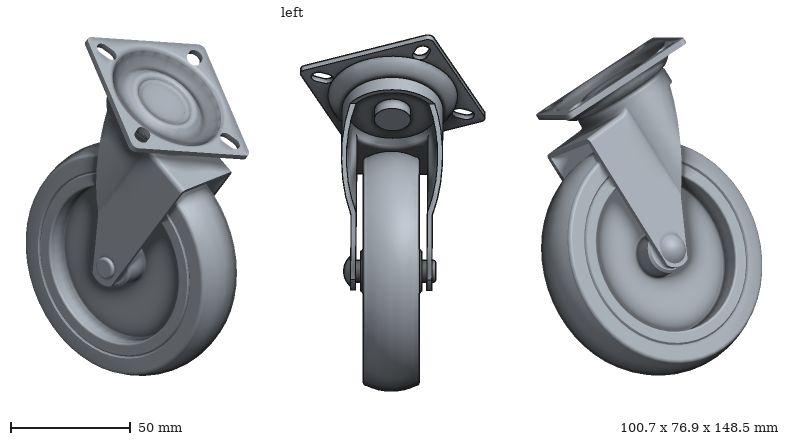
import cadquery as cq
import math


PITCH = 37.8
ROLL = 0.5
PLATE_TURN = -22.8

WHEEL_RADIUS = 50.0
WHEEL_HALF_WIDTH = 11.7
TREAD_HALF_WIDTH = 10.2
TREAD_EDGE_RADIUS = 47.7
TYRE_FACE_RADIUS = 46.0
RIM_RADIUS = 39.6
SEAM_CHAMFER = 0.67
RIM_INNER_RADIUS = 34.0
RIM_EDGE_FILLET = 0.9
WEB_HALF_THICKNESS = 2.4
HUB_RADIUS = 9.2
HUB_HALF_LENGTH = 12.8
HUB_END_CHAMFER = 1.0

AXLE_RADIUS = 4.6
AXLE_END_Y = -18.5
AXLE_END_FILLET = 1.0
HEAD_RADIUS = 6.2
HEAD_SEAT_Y = 17.1
HEAD_HEIGHT = 2.8

SHEET = 2.1
SWIVEL_OFFSET = 30.0
CROWN_RADIUS = 21.1
CROWN_TOP = 63.7
COLLAR_BOTTOM = 56.1
SHOULDER_TOP = 58.5
LEG_OUTER = 17.0
LEG_EDGE = 6.7
TIP_RADIUS = 8.0
FRONT_EDGE_ANGLE = 31.0
BLEND_RADIUS = 1.5
INNER_BLEND_RADIUS = 1.5
BEND_RADIUS = 2.1
LEG_DROP = 11.9
TRIM_MARGIN = 1.5

PLATE_SIDE = 60.0
PLATE_CORNER = 2.7
PLATE_THICKNESS = 2.5
PLATE_TOP = 71.7
SLOT_SPACING = 44.8
SLOT_LENGTH = 9.5
SLOT_WIDTH = 6.2
DISH_RADIUS = 27.6
DISH_UNDER_RADIUS = 27.0
DISH_LIP_MID = (26.6, 0.37)
DISH_LIP_END = (25.7, 1.3)
DISH_UPPER = [(22.9, 5.5), (21.2, 6.2), (16.6, 3.5), (14.3, 2.5)]
DISH_BORE_LIP = (12.0, 3.9)
DISH_LOWER = [(22.9, 7.5), (21.1, 8.2), (16.6, 6.1), (14.3, 5.0), (12.0, 5.8)]
DISH_BORE_DEPTHS = (4.3, 6.1)

PIN_HEAD_RADIUS = 10.1
PIN_HEAD_DEPTH = 4.3
PIN_RADIUS = 7.5
PIN_BOTTOM = 56.7

TOLERANCE = 0.01


def spin_about_y(half_profile):
    """Solid turned about Y from a closed profile of (radius, y) drawn on the XY plane."""
    return half_profile.revolve(360, (0, 0, 0), (0, 1, 0))


def make_tyre():
    width, edge = WHEEL_HALF_WIDTH, TREAD_HALF_WIDTH
    arc_rise = 1 - math.sqrt(0.5)
    bulge = (width - edge) * arc_rise
    shoulder_mid = TREAD_EDGE_RADIUS - (TREAD_EDGE_RADIUS - TYRE_FACE_RADIUS) * arc_rise
    profile = (
        cq.Workplane("XY")
        .moveTo(RIM_RADIUS, -width + SEAM_CHAMFER)
        .lineTo(RIM_RADIUS + SEAM_CHAMFER, -width)
        .lineTo(TYRE_FACE_RADIUS, -width)
        .threePointArc((shoulder_mid, -width + bulge), (TREAD_EDGE_RADIUS, -edge))
        .threePointArc((WHEEL_RADIUS, 0), (TREAD_EDGE_RADIUS, edge))
        .threePointArc((shoulder_mid, width - bulge), (TYRE_FACE_RADIUS, width))
        .lineTo(RIM_RADIUS + SEAM_CHAMFER, width)
        .lineTo(RIM_RADIUS, width - SEAM_CHAMFER)
        .close()
    )
    return spin_about_y(profile)


def disc(radius, half_length):
    """Cylinder about Y, centred on the wheel plane."""
    return cq.Workplane("XZ").circle(radius).extrude(half_length, both=True)


def make_rim():
    rim = disc(RIM_RADIUS, WHEEL_HALF_WIDTH).faces("<Y or >Y").chamfer(SEAM_CHAMFER)
    rim = rim.cut(disc(RIM_INNER_RADIUS, WHEEL_HALF_WIDTH))
    hub = disc(HUB_RADIUS, HUB_HALF_LENGTH).faces("<Y or >Y").chamfer(HUB_END_CHAMFER)
    web = disc(RIM_INNER_RADIUS, WEB_HALF_THICKNESS)
    wheel = rim.union(web).union(hub)

    def is_rounded(edge):
        box = edge.BoundingBox()
        radius = box.xlen / 2
        on_wall = abs(radius - RIM_INNER_RADIUS) < TOLERANCE
        on_hub = abs(radius - HUB_RADIUS) < TOLERANCE
        on_web = abs(abs(box.center.y) - WEB_HALF_THICKNESS) < TOLERANCE
        return on_wall or (on_hub and on_web)

    rounded = [edge for edge in wheel.edges("%CIRCLE").vals() if is_rounded(edge)]
    wheel = wheel.newObject(rounded).fillet(RIM_EDGE_FILLET)
    return wheel.cut(disc(AXLE_RADIUS, HUB_HALF_LENGTH))


def make_axle():
    head_end = HEAD_SEAT_Y + HEAD_HEIGHT
    sphere_radius = (HEAD_RADIUS**2 + HEAD_HEIGHT**2) / (2 * HEAD_HEIGHT)
    mid = HEAD_RADIUS / 2
    mid_y = head_end - sphere_radius + math.sqrt(sphere_radius**2 - mid**2)
    profile = (
        cq.Workplane("XY")
        .moveTo(0, AXLE_END_Y)
        .lineTo(AXLE_RADIUS - AXLE_END_FILLET, AXLE_END_Y)
        .radiusArc((AXLE_RADIUS, AXLE_END_Y + AXLE_END_FILLET), -AXLE_END_FILLET)
        .lineTo(AXLE_RADIUS, HEAD_SEAT_Y)
        .lineTo(HEAD_RADIUS, HEAD_SEAT_Y)
        .threePointArc((mid, mid_y), (0, head_end))
        .close()
    )
    return spin_about_y(profile)


def pose(body):
    """Lean an upright body about the axle centre."""
    return body.rotate((0, 0, 0), (1, 0, 0), ROLL).rotate((0, 0, 0), (0, 1, 0), PITCH)


def swivel_cylinder(radius, bottom, top):
    """Cylinder on the upright swivel axis."""
    return cq.Workplane("XY", origin=(-SWIVEL_OFFSET, 0, bottom)).circle(radius).extrude(top - bottom)


def leg_block(half_width, top, rear):
    """Block spanning both legs, from the swivel axis back to `rear`."""
    size = (rear + SWIVEL_OFFSET, 2 * half_width, top + LEG_DROP)
    return cq.Workplane("XY", origin=(-SWIVEL_OFFSET, 0, -LEG_DROP)).box(*size, centered=(False, True, False))


def make_fork_form(offset, rear, blend, bend):
    """Crown cylinder blended into the leg block, all set inwards from the outer skin by `offset`."""
    crown_radius = CROWN_RADIUS - offset
    shoulder = SHOULDER_TOP - offset
    crown = swivel_cylinder(crown_radius, -LEG_DROP, CROWN_TOP - offset)
    form = crown.union(leg_block(LEG_OUTER - offset, shoulder, rear))

    def is_inside_corner(edge):
        box = edge.BoundingBox()
        upright = edge.geomType() == "LINE" and box.zlen > SHEET
        between_crown_and_leg = upright and box.xmax < -LEG_EDGE
        level = box.zlen < TOLERANCE and abs(box.zmin - shoulder) < TOLERANCE
        around_crown = edge.geomType() == "CIRCLE" and level
        return between_crown_and_leg or around_crown

    corners = [edge for edge in form.edges("(not <Z)").vals() if is_inside_corner(edge)]
    form = form.newObject(corners).fillet(blend)
    if bend > 0:
        shoulder_edges = cq.selectors.BoxSelector(
            (-SWIVEL_OFFSET, -CROWN_RADIUS, shoulder - TOLERANCE),
            (rear + TRIM_MARGIN, CROWN_RADIUS, shoulder + TOLERANCE),
        )
        form = form.edges(shoulder_edges).edges("|X").fillet(bend)
        form = form.faces(">Z").edges().fillet(bend)
    return form


def make_fork_blank():
    """Sheet shell: crown cylinder at the front running into two flat legs and a shoulder."""
    outer = make_fork_form(0, LEG_EDGE, BLEND_RADIUS, BEND_RADIUS)
    inner = make_fork_form(SHEET, LEG_EDGE + TRIM_MARGIN, INNER_BLEND_RADIUS, BEND_RADIUS - SHEET)
    return outer.cut(inner)


def make_side_trim():
    """Side outline that the legs and front collar are trimmed to, as one prism along Y."""
    slope = math.radians(FRONT_EDGE_ANGLE)
    front_foot = -LEG_EDGE / math.cos(slope)

    def front_edge(height):
        return front_foot - height * math.tan(slope)

    crown_front = -SWIVEL_OFFSET - CROWN_RADIUS - TRIM_MARGIN
    rear = LEG_EDGE + TRIM_MARGIN
    top = CROWN_TOP + TRIM_MARGIN
    half_depth = CROWN_RADIUS + TRIM_MARGIN
    outline = [
        (rear, top),
        (rear, -LEG_DROP),
        (front_edge(-LEG_DROP), -LEG_DROP),
        (front_edge(COLLAR_BOTTOM), COLLAR_BOTTOM),
        (crown_front, COLLAR_BOTTOM),
        (crown_front, top),
    ]
    prism = cq.Workplane("XZ").polyline(outline).close().extrude(half_depth, both=True)
    below = cq.Workplane("XY", origin=(0, 0, -LEG_DROP)).box(
        -2 * crown_front, 2 * half_depth, LEG_DROP, centered=(True, True, False)
    )
    tip = cq.Workplane("XZ").circle(TIP_RADIUS).extrude(half_depth, both=True)
    return prism.cut(below.cut(tip))


def make_fork(axle):
    """Trimmed fork with a hole for the pin and holes for the axle."""
    fork = make_fork_blank().intersect(make_side_trim())
    fork = fork.cut(swivel_cylinder(PIN_RADIUS, PIN_BOTTOM, CROWN_TOP))
    return pose(fork).cut(axle)


def make_dish():
    """Pressed ring between the flat plate and the pin head, about Z."""
    under = PLATE_TOP - PLATE_THICKNESS

    def at(radius, depth):
        return (radius, PLATE_TOP - depth)

    upper = [at(*point) for point in DISH_UPPER]
    lower = [at(*point) for point in DISH_LOWER]
    upper_bore, lower_bore = (at(PIN_HEAD_RADIUS, depth) for depth in DISH_BORE_DEPTHS)
    return (
        cq.Workplane("XZ")
        .moveTo(DISH_RADIUS, PLATE_TOP)
        .threePointArc(at(*DISH_LIP_MID), at(*DISH_LIP_END))
        .spline(upper + [at(*DISH_BORE_LIP)], includeCurrent=True)
        .lineTo(*upper_bore)
        .lineTo(*lower_bore)
        .spline(lower[::-1] + [(DISH_UNDER_RADIUS, under)], includeCurrent=True)
        .lineTo(DISH_RADIUS, under)
        .close()
        .revolve(360, (0, 0, 0), (0, 1, 0))
    )


def make_plate():
    """Square plate with a pressed dish and four slots that point at the swivel axis."""
    base = cq.Workplane("XY", origin=(0, 0, PLATE_TOP - PLATE_THICKNESS))
    sheet = base.rect(PLATE_SIDE, PLATE_SIDE).extrude(PLATE_THICKNESS).edges("|Z").fillet(PLATE_CORNER)
    opening = base.circle(DISH_RADIUS).extrude(PLATE_THICKNESS)
    plate = sheet.cut(opening).union(make_dish())
    slot_distance = SLOT_SPACING / math.sqrt(2)
    slot = base.center(slot_distance, 0).slot2D(SLOT_LENGTH, SLOT_WIDTH).extrude(PLATE_THICKNESS)
    for corner in range(4):
        plate = plate.cut(slot.rotate((0, 0, 0), (0, 0, 1), 45 + 90 * corner))
    plate = plate.rotate((0, 0, 0), (0, 0, 1), PLATE_TURN)
    return pose(plate.translate((-SWIVEL_OFFSET, 0, 0)))


def make_pin():
    head = swivel_cylinder(PIN_HEAD_RADIUS, CROWN_TOP, PLATE_TOP - PIN_HEAD_DEPTH)
    shank = swivel_cylinder(PIN_RADIUS, PIN_BOTTOM, CROWN_TOP)
    return pose(head.union(shank))


tyre = make_tyre()
rim = make_rim()
axle = make_axle()
fork = make_fork(axle)
plate = make_plate()
pin = make_pin()

result = cq.Compound.makeCompound([body.val() for body in (tyre, rim, axle, fork, plate, pin)])